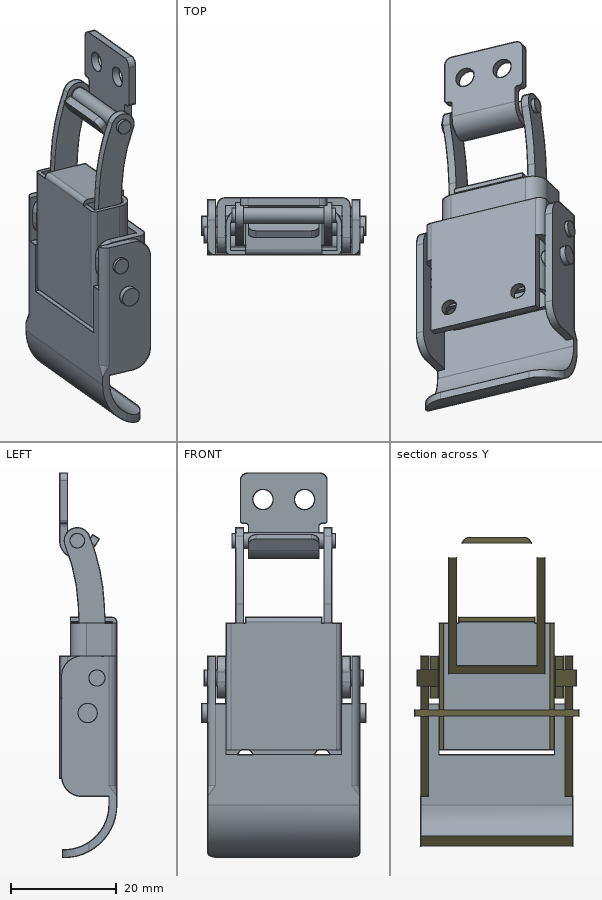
import cadquery as cq
import math


total_height = 72.6
front_y = -10.8
plate = 1.5

strike_half_width = 8.2
strike_corner_radius = 1.45
neck_half_width = 6.7
neck_top_z = 63.1
neck_fillet = 0.5
strike_hole_diameter = 3.8
strike_hole_x = 3.9
strike_hole_z = 67.6
hook_sweep = 57.0
lip_length = 2.55
lip_corner_radius = 1.45

hook_radius = 3.35
hook_pin_y = -hook_radius
hook_pin_z = 59.8
hook_pin_radius = 1.5
hook_pin_end_radius = 1.4
hook_pin_half_length = 9.8

link_inner_x = 7.55
link_half_depth = 2.5
link_bend_radius = 36.7
link_top_lean = 22.0
link_bottom_lean = 2.6
link_straight_length = 13.1

box_half_width = 10.9
box_sheet = 0.9
box_back_y = -2.0
box_bottom_z = 20.3
box_top_z = 44.3
box_front_radius = 0.95
box_back_radius = 3.05
tab_half_width = 7.2
tab_top_z = 45.4

base_inner_x = 11.0
base_outer_x = base_inner_x + plate
base_top_z = 38.05
ear_bottom_z = 30.1
ear_front_y = -10.45
ear_radius = 3.0
base_bottom_z = 14.95
base_hole_diameter = 3.0
base_hole_x = 7.25
base_hole_z = 19.0

handle_outer_x = 14.4
handle_inner_x = handle_outer_x - plate
handle_top_z = base_top_z
handle_back_y = -0.35
cheek_bottom_z = 11.55
cheek_corner_radius = 3.85
front_plate_top_z = 29.05
opening_bottom_z = 19.45
bend_radius = 1.5
bend_end_z = 13.65
bend_runout_z = 11.6
curl_radius = 9.95
curl_end_y = -0.5
curl_corner_radius = 5.0

rivet_radius = 1.5
rivet_end_x = 15.0
rivet_y = -7.05
rivet_z = 33.9
handle_pin_radius = 1.8
handle_pin_length = 31.0
handle_pin_half_length = handle_pin_length / 2
handle_pin_y = -5.3
handle_pin_z = 27.3


def block(x0, x1, y0, y1, z0, z1):
    """Box between two opposite corners."""
    return cq.Workplane("XY").box(x1 - x0, y1 - y0, z1 - z0, centered=False).translate((x0, y0, z0))


def rod(radius, x0, x1, y, z):
    """Cylinder along X from x0 to x1."""
    return cq.Workplane("YZ", origin=(x0, y, z)).circle(radius).extrude(x1 - x0)


def bore_y(diameter, x, z):
    """Cylinder along Y that passes through a plate lying on Y = 0."""
    drill = cq.Workplane("XZ", origin=(x, plate, z)).circle(diameter / 2)
    return drill.extrude(3 * plate)


def both_sides(body):
    """The body joined with its mirror image across X = 0."""
    return body.union(body.mirror("YZ"))


def polar(center, distance, degrees):
    """Point at a distance from a (Y, Z) center, in a direction from +Y towards +Z."""
    angle = math.radians(degrees)
    return (center[0] + distance * math.cos(angle), center[1] + distance * math.sin(angle))


def make_strike():
    head = block(-strike_half_width, strike_half_width, -plate, 0, neck_top_z, total_height)
    head = head.edges("|Y and >Z").fillet(strike_corner_radius)
    head = head.edges("|Y and <Z").fillet(neck_fillet)
    neck = block(-neck_half_width, neck_half_width, -plate, 0, hook_pin_z, neck_top_z + plate)
    strike = head.union(neck)
    for x in (-neck_half_width, neck_half_width):
        inner_corner = cq.selectors.NearestToPointSelector((x, -plate / 2, neck_top_z))
        strike = strike.edges(inner_corner).fillet(neck_fillet)
    strike = strike.union(make_hook())
    for x in (-strike_hole_x, strike_hole_x):
        strike = strike.cut(bore_y(strike_hole_diameter, x, strike_hole_z))
    return strike


def make_hook():
    """Sheet that turns under the hook pin and rises as a straight lip in front of it."""
    center = (hook_pin_y, hook_pin_z)
    inner_radius = hook_radius - plate
    arc_end = -90 - hook_sweep
    lip_direction = 180 - hook_sweep
    outer_end = polar(center, hook_radius, arc_end)
    inner_end = polar(center, inner_radius, arc_end)
    arc_middle = arc_end / 2
    hook = (
        cq.Workplane("YZ", origin=(-neck_half_width, 0, 0))
        .moveTo(*polar(center, hook_radius, 0))
        .threePointArc(polar(center, hook_radius, arc_middle), outer_end)
        .lineTo(*polar(outer_end, lip_length, lip_direction))
        .lineTo(*polar(inner_end, lip_length, lip_direction))
        .lineTo(*inner_end)
        .threePointArc(polar(center, inner_radius, arc_middle), polar(center, inner_radius, 0))
        .close()
        .extrude(2 * neck_half_width)
    )
    tip_middle = polar(polar(center, hook_radius - plate / 2, arc_end), lip_length, lip_direction)
    for x in (-neck_half_width, neck_half_width):
        tip_edge = cq.selectors.NearestToPointSelector((x, *tip_middle))
        hook = hook.edges(tip_edge).fillet(lip_corner_radius)
    return hook


def make_hook_pin():
    pin = rod(hook_pin_radius, -link_inner_x, link_inner_x, hook_pin_y, hook_pin_z)
    ends = rod(hook_pin_end_radius, -hook_pin_half_length, hook_pin_half_length, hook_pin_y, hook_pin_z)
    return pin.union(ends)


def make_link():
    """Two bent arms joined by a web across their lower ends."""
    eye = (hook_pin_y, hook_pin_z)
    bend_center = polar(eye, link_bend_radius, -link_top_lean)
    top_angle = 180 - link_top_lean
    bottom_angle = 180 - link_bottom_lean
    middle_angle = (top_angle + bottom_angle) / 2
    down = bottom_angle + 90
    front_radius = link_bend_radius + link_half_depth
    back_radius = link_bend_radius - link_half_depth
    front_bend = polar(bend_center, front_radius, bottom_angle)
    back_bend = polar(bend_center, back_radius, bottom_angle)
    front_foot = polar(front_bend, link_straight_length, down)
    back_foot = polar(back_bend, link_straight_length, down)

    arm = (
        cq.Workplane("YZ", origin=(link_inner_x, 0, 0))
        .moveTo(*front_foot)
        .lineTo(*front_bend)
        .threePointArc(
            polar(bend_center, front_radius, middle_angle),
            polar(bend_center, front_radius, top_angle),
        )
        .threePointArc(
            polar(eye, link_half_depth, top_angle - 90),
            polar(bend_center, back_radius, top_angle),
        )
        .threePointArc(polar(bend_center, back_radius, middle_angle), back_bend)
        .lineTo(*back_foot)
        .close()
        .extrude(plate)
    )
    arm = arm.cut(rod(hook_pin_end_radius, 0, hook_pin_half_length, *eye))
    web = (
        cq.Workplane("YZ", origin=(-link_inner_x, 0, 0))
        .polyline([
            front_foot,
            back_foot,
            polar(back_foot, plate, down - 180),
            polar(front_foot, plate, down - 180),
        ])
        .close()
        .extrude(2 * link_inner_x)
    )
    return both_sides(arm).union(web)


def make_box():
    """Sheet-metal tube with a tab bent over its top from the front wall."""
    outer = block(-box_half_width, box_half_width, front_y, box_back_y, box_bottom_z, box_top_z)
    outer = outer.edges("|Z and <Y").fillet(box_front_radius)
    outer = outer.edges("|Z and >Y").fillet(box_back_radius)
    inner_half_width = box_half_width - box_sheet
    inner = block(
        -inner_half_width, inner_half_width,
        front_y + box_sheet, box_back_y - box_sheet, box_bottom_z, box_top_z,
    )
    inner = inner.edges("|Z and <Y").fillet(box_front_radius - box_sheet)
    inner = inner.edges("|Z and >Y").fillet(box_back_radius - box_sheet)
    tube = outer.cut(inner)

    tab = block(-tab_half_width, tab_half_width, front_y, box_back_y, box_top_z - box_sheet, tab_top_z)
    tab = tab.edges("|X and <Y and >Z").fillet(box_front_radius)
    tab = tab.cut(block(
        -tab_half_width, tab_half_width,
        front_y + box_sheet, box_back_y, box_top_z - box_sheet, tab_top_z - box_sheet,
    ))
    return tube.union(tab).cut(make_handle_pin())


def make_base():
    """Back plate with two ears that carry the rivets."""
    channel = block(-base_outer_x, base_outer_x, ear_front_y, 0, ear_bottom_z, base_top_z)
    channel = channel.edges("|Z and >Y").fillet(plate)
    channel = channel.edges("|X and <Y").fillet(ear_radius)
    channel = channel.cut(block(
        -base_inner_x, base_inner_x, ear_front_y, -plate, ear_bottom_z, base_top_z,
    ))
    back = block(-base_inner_x, base_inner_x, -plate, 0, base_bottom_z, ear_bottom_z)
    base = channel.union(back)
    for x in (-base_hole_x, base_hole_x):
        base = base.cut(bore_y(base_hole_diameter, x, base_hole_z))
    return base.cut(rod(rivet_radius, -rivet_end_x, rivet_end_x, rivet_y, rivet_z))


def bend_corner(size, z):
    """Face between the sharp corner of a cheek and its rounded edge, at height z."""
    return (
        cq.Workplane("XY", origin=(handle_outer_x, front_y, z))
        .lineTo(0, size)
        .radiusArc((-size, 0), size)
        .close()
    )


def make_bend_cut():
    """Rounding of a cheek's front edge that runs out to the sharp corner below."""
    straight = bend_corner(bend_radius, bend_end_z).extrude(handle_top_z - bend_end_z)
    tip_size = bend_radius / 100
    top_wire = bend_corner(bend_radius, bend_end_z).val()
    tip_wire = bend_corner(tip_size, bend_runout_z).val()
    runout = cq.Workplane(cq.Solid.makeLoft([top_wire, tip_wire], True))
    return straight.union(runout)


def make_curl():
    """Finger grip that curls back from the bottom of the front plate."""
    center = (front_y + curl_radius, curl_radius)
    inner_radius = curl_radius - plate
    curl = (
        cq.Workplane("YZ", origin=(-handle_outer_x, 0, 0))
        .moveTo(*polar(center, curl_radius, 180))
        .threePointArc(polar(center, curl_radius, 225), polar(center, curl_radius, 270))
        .lineTo(curl_end_y, 0)
        .lineTo(curl_end_y, plate)
        .lineTo(*polar(center, inner_radius, 270))
        .threePointArc(polar(center, inner_radius, 225), polar(center, inner_radius, 180))
        .close()
        .extrude(2 * handle_outer_x)
    )
    outline = block(-handle_outer_x, handle_outer_x, front_y, curl_end_y, 0, curl_radius)
    outline = outline.edges("|Z and >Y").fillet(curl_corner_radius)
    return curl.intersect(outline)


def make_handle():
    cheek = block(handle_inner_x, handle_outer_x, front_y, handle_back_y, cheek_bottom_z, handle_top_z)
    cheek = cheek.edges("|X and >Y").fillet(cheek_corner_radius)
    front = block(
        -handle_outer_x, handle_outer_x, front_y, front_y + plate, curl_radius, front_plate_top_z,
    )
    opening = block(
        -box_half_width, box_half_width, front_y, front_y + plate, opening_bottom_z, front_plate_top_z,
    )
    handle = both_sides(cheek).union(front.cut(opening)).union(make_curl())
    handle = handle.cut(both_sides(make_bend_cut()))
    handle = handle.cut(rod(rivet_radius, -rivet_end_x, rivet_end_x, rivet_y, rivet_z))
    return handle.cut(make_handle_pin())


def make_handle_pin():
    return rod(
        handle_pin_radius, -handle_pin_half_length, handle_pin_half_length, handle_pin_y, handle_pin_z,
    )


def make_rivet(side):
    """Rivet through one cheek and one ear; side is -1 or 1."""
    ends = sorted((side * base_inner_x, side * rivet_end_x))
    return rod(rivet_radius, *ends, rivet_y, rivet_z)


strike = make_strike()
hook_pin = make_hook_pin()
link = make_link()
box = make_box()
base = make_base()
handle = make_handle()
handle_pin = make_handle_pin()
rivets = [make_rivet(side).val() for side in (-1, 1)]

result = cq.Compound.makeCompound([
    strike.val(),
    hook_pin.val(),
    link.val(),
    box.val(),
    base.val(),
    handle.val(),
    handle_pin.val(),
    *rivets,
])